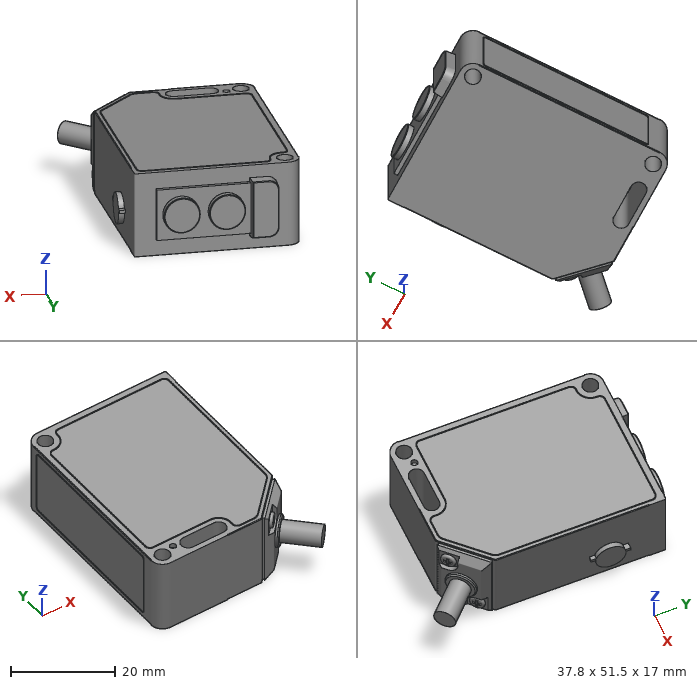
import cadquery as cq
import math

width = 32.85
depth = 44.45
height = 17.0
top_z = height / 2
corner_cut = 8.75
corner_radius = 2.75
cut_edge_radius = 0.5
rear_edge_radius = 0.3

rim_bevel = 0.15
rim_bevel_start_x = 16.1
rim_bevel_end_y = 40.95

mount_radius = 1.6
mount_inset = corner_radius
slot_start_x = 8.75
slot_end_x = 15.9
blind_hole_x = 5.75
blind_hole_y = 3.55
blind_hole_radius = 0.65
blind_hole_depth = 1.05

groove_width = 0.15
groove_depth = 0.1
lid_wide_inset = 1.35
lid_narrow_inset = 0.9
lid_corner_radius = 1.15
lid_cut_corner_radius = 2.05
rear_land_radius = 2.85
front_land_radius = 2.7
window_start_y = 5.1
window_end_y = 40.9
window_height = 14.8
window_corner_radius = 0.7

rear_height = 2.1
tab_start_x = 4.75
tab_end_x = 10.25
tab_height = 11.85
tab_corner_radius = 2.1
tab_draft = 5.0
tab_edge_chamfer = 0.15
panel_end_x = 28.7
panel_thickness = 0.8
panel_height = 10.3
button_radius = 3.55
button_centres_x = (15.05, 23.95)
button_edge_chamfer = 0.15

dial_y = 32.45
dial_z = -2.7
dial_radius = 3.1
dial_lever_length = 8.15
dial_lever_bottom_z = -2.35
dial_lever_thickness = 0.6
dial_front_height = 0.8
dial_rear_height = 1.25

neck_height = 0.45
neck_end_inset = 0.2
cap_height = 1.6
cap_thickness = 16.15
cap_slope = 1.55
cap_edge_radius = 0.2
flange_radius = 3.3
flange_height = 0.65
flange_chamfer = 0.25
cable_radius = 2.25
cable_end = 10.9

screw_along = 3.0
screw_z = 5.4
screw_pocket_half = 2.15
screw_pocket_depth = 0.95
screw_head_radius = 1.6
screw_head_height = 0.65
screw_head_round = 0.4
cross_length = 1.75
cross_width = 0.45
cross_depth = 0.3

cut_plane = cq.Plane(
    origin=(width - corner_cut / 2, corner_cut / 2, 0),
    xDir=(1, 1, 0),
    normal=(1, -1, 0),
)


def box_between(low, high):
    size = [b - a for a, b in zip(low, high)]
    return cq.Workplane("XY").box(*size, centered=False).translate(low)


def make_block():
    outline = (
        cq.Workplane("XY")
        .workplane(offset=-top_z)
        .polyline([
            (0, 0),
            (width - corner_cut, 0),
            (width, corner_cut),
            (width, depth),
            (0, depth),
        ])
        .close()
    )
    block = outline.extrude(height)
    block = block.edges("|Z and <X").fillet(corner_radius)
    block = block.edges(cq.selectors.NearestToPointSelector((width, depth, 0))).fillet(rear_edge_radius)
    for corner in ((width - corner_cut, 0, 0), (width, corner_cut, 0)):
        block = block.edges(cq.selectors.NearestToPointSelector(corner)).fillet(cut_edge_radius)
    bevelled = block.faces("<Z or >Z").chamfer(rim_bevel)
    cable_corner_zone = box_between((rim_bevel_start_x, 0, -top_z), (width, rim_bevel_end_y, top_z))
    left_flat_zone = box_between((0, corner_radius, -top_z), (rim_bevel, depth - corner_radius, top_z))
    bevel_zones = cable_corner_zone.union(left_flat_zone)
    return block.cut(block.cut(bevelled).intersect(bevel_zones))


def mounting_holes():
    bottom = cq.Workplane("XY").workplane(offset=-top_z)
    holes = (
        bottom.pushPoints([(mount_inset, mount_inset), (mount_inset, depth - mount_inset)])
        .circle(mount_radius)
        .extrude(height)
    )
    slot = (
        bottom.center((slot_start_x + slot_end_x) / 2, mount_inset)
        .slot2D(slot_end_x - slot_start_x + 2 * mount_radius, 2 * mount_radius)
        .extrude(height)
    )
    blind_hole = (
        cq.Workplane("XY")
        .workplane(offset=top_z - blind_hole_depth)
        .center(blind_hole_x, blind_hole_y)
        .circle(blind_hole_radius)
        .extrude(blind_hole_depth)
    )
    return holes.union(slot).union(blind_hole)


def lid_plate():
    left = lid_wide_inset
    right = width - lid_narrow_inset
    rear = depth - lid_wide_inset
    front = lid_narrow_inset
    diagonal = width - corner_cut - lid_narrow_inset * math.sqrt(2)
    rear_land_x = mount_inset + rear_land_radius
    rear_land_y = depth - mount_inset - rear_land_radius
    front_land_x = slot_end_x + front_land_radius
    front_land_y = mount_inset + front_land_radius
    plate = (
        cq.Workplane("XY")
        .workplane(offset=top_z - groove_depth)
        .polyline([
            (left, front_land_y),
            (front_land_x, front_land_y),
            (front_land_x, front),
            (diagonal + front, front),
            (right, right - diagonal),
            (right, rear),
            (rear_land_x, rear),
            (rear_land_x, rear_land_y),
            (left, rear_land_y),
        ])
        .close()
        .extrude(groove_depth)
    )
    corner_radii = (
        (front_land_x, front_land_y, front_land_radius),
        (rear_land_x, rear_land_y, rear_land_radius),
        (left, front_land_y, lid_corner_radius),
        (front_land_x, front, lid_corner_radius),
        (diagonal + front, front, lid_cut_corner_radius),
        (right, right - diagonal, lid_cut_corner_radius),
        (right, rear, lid_corner_radius),
        (rear_land_x, rear, lid_corner_radius),
        (left, rear_land_y, lid_corner_radius),
    )
    for x, y, radius in corner_radii:
        corner_edge = cq.selectors.NearestToPointSelector((x, y, top_z - groove_depth / 2))
        plate = plate.edges(corner_edge).fillet(radius)
    return plate


def lid_groove():
    plate = lid_plate()
    inner = plate.faces(">Z").wires().toPending().offset2D(-groove_width).extrude(-groove_depth, combine=False)
    return plate.cut(inner)


def window_groove():
    length = window_end_y - window_start_y

    def window(inset):
        return (
            cq.Workplane("YZ")
            .center((window_start_y + window_end_y) / 2, 0)
            .rect(length - 2 * inset, window_height - 2 * inset)
            .extrude(groove_depth)
            .edges("|X")
            .fillet(window_corner_radius - inset)
        )

    return window(0).cut(window(groove_width))


def rear_controls():
    rear_plane = cq.Plane(origin=(0, depth, 0), xDir=(-1, 0, 0), normal=(0, 1, 0))
    rear = cq.Workplane(rear_plane)
    tab_length = tab_end_x - tab_start_x
    tab_profile = (
        cq.Sketch()
        .rect(tab_length, tab_height)
        .vertices(">X")
        .fillet(tab_corner_radius)
    )
    tab = (
        rear.center(-(tab_start_x + tab_end_x) / 2, 0)
        .placeSketch(tab_profile)
        .extrude(rear_height, taper=tab_draft)
        .faces(">Y")
        .chamfer(tab_edge_chamfer)
    )
    panel = box_between(
        (tab_end_x - tab_corner_radius, depth, -panel_height / 2),
        (panel_end_x, depth + panel_thickness, panel_height / 2),
    )
    buttons = (
        rear.pushPoints([(-x, 0) for x in button_centres_x])
        .circle(button_radius)
        .extrude(rear_height)
        .faces(">Y")
        .chamfer(button_edge_chamfer)
    )
    return tab.union(panel).union(buttons)


def selector_dial():
    half_lever = dial_lever_length / 2
    disc = (
        cq.Workplane("YZ", origin=(width, dial_y, dial_z))
        .circle(dial_radius)
        .extrude(dial_rear_height)
    )
    lever = box_between(
        (width, dial_y - half_lever, dial_lever_bottom_z),
        (width + dial_rear_height, dial_y + half_lever, dial_lever_bottom_z + dial_lever_thickness),
    )
    sloped_envelope = (
        cq.Workplane("XY", origin=(width, dial_y, 0))
        .polyline([
            (0, -half_lever),
            (dial_front_height, -half_lever),
            (dial_rear_height, half_lever),
            (0, half_lever),
        ])
        .close()
        .extrude(height, both=True)
    )
    return disc.union(lever).intersect(sloped_envelope)


def make_housing():
    return (
        make_block()
        .cut(mounting_holes())
        .cut(lid_groove())
        .cut(window_groove())
        .union(rear_controls())
        .union(selector_dial())
    )


def screw_pocket(along, z, inward):
    """Pocket open at the cap's end; the corner toward the cable is rounded about the screw."""
    half = screw_pocket_half
    floor = neck_height + cap_height - screw_pocket_depth
    return (
        cq.Workplane(cut_plane)
        .workplane(offset=floor)
        .center(along, z)
        .moveTo(-inward * corner_cut, -inward * half)
        .lineTo(0, -inward * half)
        .radiusArc((inward * half, 0), -half)
        .lineTo(inward * half, inward * half)
        .lineTo(-inward * corner_cut, inward * half)
        .close()
        .extrude(screw_pocket_depth)
    )


def screw_head(along, z):
    floor = neck_height + cap_height - screw_pocket_depth
    head = (
        cq.Workplane(cut_plane)
        .workplane(offset=floor)
        .center(along, z)
        .circle(screw_head_radius)
        .extrude(screw_head_height)
        .faces(">(1,-1,0)")
        .edges()
        .fillet(screw_head_round)
    )
    cross_plane = (
        cq.Workplane(cut_plane)
        .workplane(offset=floor + screw_head_height - cross_depth)
        .center(along, z)
    )
    cross = (
        cross_plane.rect(cross_length, cross_width).extrude(cross_depth)
        .union(cross_plane.rect(cross_width, cross_length).extrude(cross_depth))
    )
    return head.cut(cross)


def make_cable_outlet():
    cut_length = corner_cut * math.sqrt(2)
    cap_top = neck_height + cap_height
    base = cq.Workplane(cut_plane)
    neck = base.rect(cut_length - 2 * (neck_height + neck_end_inset), cap_thickness).extrude(neck_height)
    cap = (
        base.workplane(offset=neck_height)
        .rect(cut_length, cap_thickness)
        .extrude(cap_height)
        .faces(">(1,-1,0)")
        .edges("|(1,1,0)")
        .chamfer(cap_slope)
    )
    cap = cap.intersect(box_between((0, 0, -top_z), (width, depth, top_z)))
    cap = cap.faces(">(1,-1,0)").edges().fillet(cap_edge_radius)
    for side in (-1, 1):
        cap = cap.cut(screw_pocket(side * screw_along, -side * screw_z, -side))
    outlet = neck.union(cap)
    for side in (-1, 1):
        outlet = outlet.union(screw_head(side * screw_along, -side * screw_z))
    flange = (
        base.workplane(offset=cap_top)
        .circle(flange_radius)
        .extrude(flange_height)
        .faces(">(1,-1,0)")
        .chamfer(flange_chamfer)
    )
    cable = base.workplane(offset=cap_top).circle(cable_radius).extrude(cable_end - cap_top)
    return outlet.union(flange).union(cable)


housing = make_housing()
cable_outlet = make_cable_outlet()

result = cq.Compound.makeCompound([housing.val(), cable_outlet.val()])